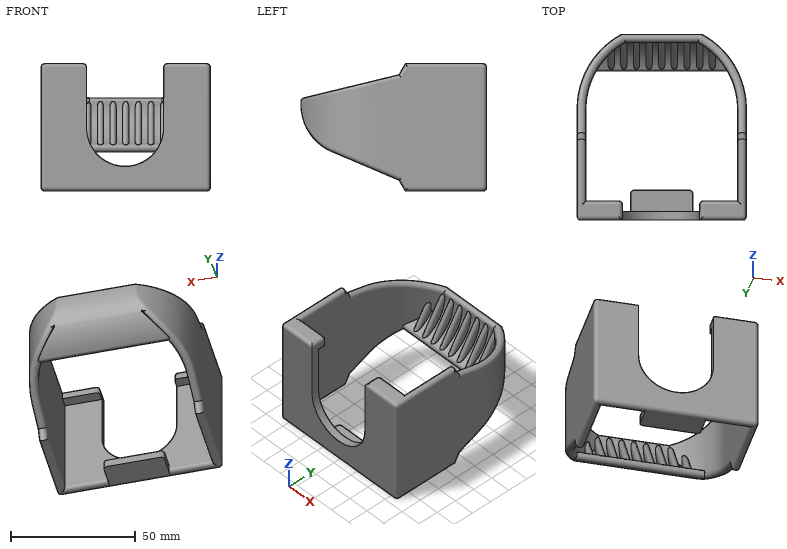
import cadquery as cq
import math

width = 68.07
depth = 74.68
height = 51.31
half_width = width / 2

wall = 3.556
back_wall = 3.18
edge_radius = 1.5875
tolerance = 0.01

nose_center_y = 44.75
nose_radius = half_width

step_y = 35.2
step_angle = 60.0
upper_step_z = 46.8
nose_top_z = 37.2
lower_slope = 23.0
back_radius = 20.6
back_center_y = depth - back_radius
back_center_z = 34.8

slot_width = 30.99
slot_center_x = -0.27
slot_bottom_z = 10.0
lip_depth = 7.75
lip_height = 4.1
tab_width = 25.1
tab_end_y = 12.1
tab_thickness = 3.556

ridge_count = 9
ridge_pitch = 5.08
ridge_radius = 1.27
ridge_top_angle = 4.0
ridge_end_angle = 60.0


def back_point(radius, angle):
    """Point (y, z) on a circle about the back-wall axis, angle in degrees below the +Y direction."""
    a = math.radians(angle)
    return (back_center_y + radius * math.cos(a), back_center_z - radius * math.sin(a))


arc_end_angle = 90 - lower_slope
inner_back_radius = back_radius - back_wall
lower_tangent = back_point(back_radius, arc_end_angle)
lower_step_z = lower_tangent[1] - (lower_tangent[0] - step_y) * math.tan(math.radians(lower_slope))

step_run = 1 / math.tan(math.radians(step_angle))
upper_box_end_y = step_y - (height - upper_step_z) * step_run
lower_box_end_y = step_y - lower_step_z * step_run
box_side_end_y = min(upper_box_end_y, lower_box_end_y)


def plan_prism(radius, front_y, back_y):
    """Vertical prism with straight sides, a round nose and flat front and back ends."""
    end_x = math.sqrt(radius**2 - (back_y - nose_center_y) ** 2)
    mid_angle = math.atan2(back_y - nose_center_y, end_x) / 2
    mid_x = radius * math.cos(mid_angle)
    mid_y = nose_center_y + radius * math.sin(mid_angle)
    return (
        cq.Workplane("XY")
        .moveTo(-radius, front_y)
        .lineTo(radius, front_y)
        .lineTo(radius, nose_center_y)
        .threePointArc((mid_x, mid_y), (end_x, back_y))
        .lineTo(-end_x, back_y)
        .threePointArc((-mid_x, mid_y), (-radius, nose_center_y))
        .close()
        .extrude(height)
    )


def make_envelope():
    """Outer shape: the side profile limited by the plan outline."""
    profile = (
        cq.Workplane("YZ")
        .moveTo(0, 0)
        .lineTo(lower_box_end_y, 0)
        .lineTo(step_y, lower_step_z)
        .lineTo(*lower_tangent)
        .threePointArc(back_point(back_radius, arc_end_angle / 2), (depth, back_center_z))
        .lineTo(depth, nose_top_z)
        .lineTo(step_y, upper_step_z)
        .lineTo(upper_box_end_y, height)
        .lineTo(0, height)
        .close()
        .extrude(half_width, both=True)
    )
    return profile.intersect(plan_prism(nose_radius, 0, depth))


def make_arched_wall():
    """Arched lower part of the back wall, with a fully rounded lower end."""
    end_y, end_z = back_point(back_radius - back_wall / 2, arc_end_angle)
    slope = math.radians(lower_slope)
    tip = (end_y - back_wall / 2 * math.cos(slope), end_z - back_wall / 2 * math.sin(slope))
    return (
        cq.Workplane("YZ")
        .moveTo(depth, back_center_z)
        .threePointArc(back_point(back_radius, arc_end_angle / 2), lower_tangent)
        .threePointArc(tip, back_point(inner_back_radius, arc_end_angle))
        .threePointArc(
            back_point(inner_back_radius, arc_end_angle / 2),
            (depth - back_wall, back_center_z),
        )
        .close()
        .extrude(half_width, both=True)
    )


def add_lips(body):
    """Thicken the front wall inward along its top edge."""
    lip = (
        cq.Workplane("XY", origin=(0, lip_depth / 2, height - lip_height))
        .rect(width - 2 * wall, lip_depth)
        .extrude(lip_height)
    )
    return body.union(lip)


def cut_slot(body):
    """Cut the round-bottomed slot through the front wall and the lip."""
    radius = slot_width / 2
    arc_z = slot_bottom_z + radius
    slot = (
        cq.Workplane("XZ", origin=(slot_center_x, 0, 0))
        .moveTo(-radius, height)
        .lineTo(-radius, arc_z)
        .threePointArc((0, slot_bottom_z), (radius, arc_z))
        .lineTo(radius, height)
        .close()
        .extrude(-lip_depth)
    )
    return body.cut(slot)


def is_rounded(edge):
    """True for the upper and lower rims, the outer front corners and the lip corners."""
    start, end, center = edge.startPoint(), edge.endPoint(), edge.Center()
    same_x = abs(start.x - end.x) < tolerance
    same_y = abs(start.y - end.y) < tolerance
    same_z = abs(start.z - end.z) < tolerance
    if same_x and same_y:
        outer_corner = center.y < tolerance and abs(center.x) > half_width - tolerance
        lip_corner = abs(center.y - lip_depth) < tolerance and abs(center.x) < half_width / 2 + tolerance
        return outer_corner or lip_corner
    if center.y < box_side_end_y - tolerance:
        return min(abs(center.z), abs(center.z - height)) < tolerance
    if same_y and same_z:
        return center.y > depth - back_wall - tolerance and center.z > back_center_z + tolerance
    return True


def round_edges(body):
    """Round the rims of the ring in one go."""
    return body.newObject(body.edges().filter(is_rounded).vals()).fillet(edge_radius)


def make_ring():
    """Side walls, nose, front wall with lips and slot, and rounded rims."""
    opening = plan_prism(nose_radius - wall, wall, depth - back_wall)
    sharp_ring = make_envelope().cut(opening)
    return round_edges(cut_slot(add_lips(sharp_ring)))


def make_ridges():
    """Row of straight round-topped ribs spanning the hollow of the arched wall as a grip."""
    top_y, top_z = back_point(inner_back_radius, ridge_top_angle)
    end_y, end_z = back_point(inner_back_radius, ridge_end_angle)
    half_angle = math.radians(ridge_end_angle - ridge_top_angle) / 2
    length = 2 * inner_back_radius * math.sin(half_angle)
    hollow_depth = inner_back_radius * (1 - math.cos(half_angle))
    embed = ridge_radius / math.tan(half_angle)
    axis = cq.Vector(0, end_y - top_y, end_z - top_z).normalized()
    section = cq.Workplane(cq.Plane((0, top_y, top_z), xDir=(1, 0, 0), normal=axis))
    bar = section.workplane(offset=-embed).circle(ridge_radius).extrude(length + 2 * embed)
    web = section.center(0, -hollow_depth / 2).rect(2 * ridge_radius, hollow_depth).extrude(length)
    ridge = bar.union(web)
    ridges = cq.Workplane("XY")
    for index in range(ridge_count):
        x = (index - (ridge_count - 1) / 2) * ridge_pitch
        ridges = ridges.add(ridge.translate((x, 0, 0)))
    return ridges.combine()


def make_tab():
    """Flat tab reaching inward from the foot of the front wall."""
    start_y = wall / 2
    return (
        cq.Workplane("XY", origin=(0, (start_y + tab_end_y) / 2, 0))
        .rect(tab_width, tab_end_y - start_y)
        .extrude(tab_thickness)
        .edges("|Z and >Y")
        .fillet(edge_radius)
    )


mid_wall_prism = plan_prism(nose_radius - wall / 2, wall, depth)

result = (
    make_ring()
    .union(make_arched_wall().intersect(mid_wall_prism))
    .union(make_ridges().intersect(mid_wall_prism))
    .union(make_tab())
)